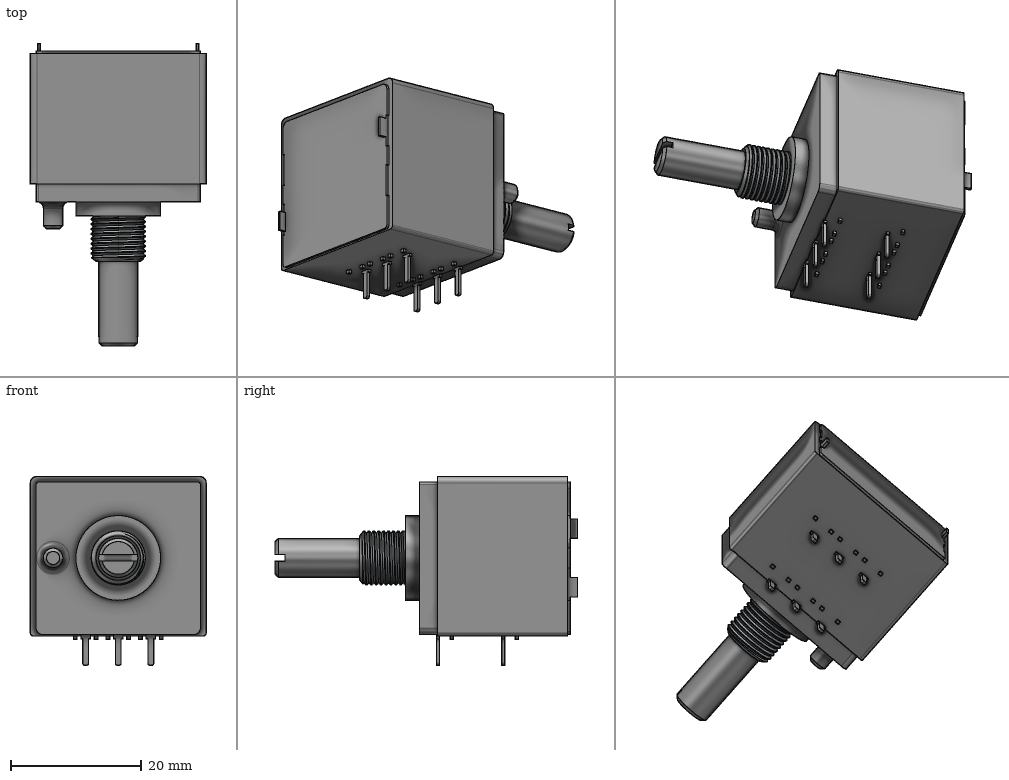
import cadquery as cq
import math


housing_width = 27.0
housing_top = 12.5
housing_bottom = -12.0
housing_front = 4.9
housing_depth = 20.0
housing_back = housing_front + housing_depth
housing_top_radius = 1.0
housing_bottom_radius = 0.5

plate_width = 25.2
plate_top = 11.65
plate_bottom = -11.75
cover_front = 2.15
cover_top_radius = 0.4
cover_bottom_radius = 1.0
back_plate_thickness = 0.4
back_plate_back = housing_back + back_plate_thickness
back_plate_top_radius = 1.0
back_plate_bottom_radius = 0.5

tab_thickness = 0.4
tab_height = 3.0
tab_length = 1.1
tab_x = 12.15
tab_z = 4.5
notch_inner_z = 1.55
notch_outer_z = 6.5

collar_diameter = 13.0
bushing_length = 7.0
thread_pitch = 0.75
thread_major_diameter = 8.3
thread_root_diameter = 7.6
thread_first_root = -0.035
groove_clearance = 0.05
groove_half_width = 0.355
bushing_end_diameter = 6.8
bushing_taper_length = 0.6
shaft_diameter = 6.0
shaft_length = 20.0
shaft_chamfer = 0.5
slot_width = 1.0
slot_depth = 1.5

peg_x = -10.0
peg_diameter = 3.0
peg_tip = -2.0
peg_chamfer = 0.5
peg_root_radius = 1.0

terminal_pitch = 5.0
terminal_rows = (5.0, 15.0)
terminal_thickness = 0.5
terminal_width = 0.9
terminal_bottom = -16.5
terminal_tip_radius = 0.35
shoulder_width = 1.5
shoulder_bottom = -12.4
feet_setback = 2.1
feet_offset = 1.6
feet_width = 0.6
feet_bottom = -12.5

overlap = 0.5


def box(x_min, x_max, y_min, y_max, z_min, z_max):
    """Axis-aligned block between two corners."""
    block = cq.Workplane("XY").box(x_max - x_min, y_max - y_min, z_max - z_min, centered=False)
    return block.translate((x_min, y_min, z_min))


def cylinder(diameter, y_min, y_max):
    """Cylinder around the shaft axis."""
    base = cq.Workplane("XZ", origin=(0, y_max, 0))
    return base.circle(diameter / 2).extrude(y_max - y_min)


def rounded_block(width, y_min, y_max, z_min, z_max, top_radius, bottom_radius):
    """Block centred on X with its four edges along Y rounded."""
    block = box(-width / 2, width / 2, y_min, y_max, z_min, z_max)
    block = block.edges("|Y and >Z").fillet(top_radius)
    return block.edges("|Y and <Z").fillet(bottom_radius)


def make_notch(side, level):
    """Cutter for a notch whose floor is level with the outer face of a tab."""
    floor_x = side * (tab_x + tab_thickness / 2)
    outside_x = side * housing_width / 2
    z_limits = sorted((level * notch_inner_z, level * notch_outer_z))
    return box(*sorted((floor_x, outside_x)), housing_back, back_plate_back + overlap, *z_limits)


def make_body():
    housing = rounded_block(
        housing_width, housing_front, housing_back, housing_bottom, housing_top,
        housing_top_radius, housing_bottom_radius,
    )
    cover = rounded_block(
        plate_width, cover_front, housing_front + overlap, plate_bottom, plate_top,
        cover_top_radius, cover_bottom_radius,
    )
    back_plate = rounded_block(
        plate_width, housing_back - overlap, back_plate_back, plate_bottom, plate_top,
        back_plate_top_radius, back_plate_bottom_radius,
    )
    for side in (-1, 1):
        for level in (-1, 1):
            back_plate = back_plate.cut(make_notch(side, level))
    return housing.union(cover).union(back_plate)


def make_tab(x, z):
    return box(
        x - tab_thickness / 2, x + tab_thickness / 2,
        back_plate_back - overlap, back_plate_back + tab_length,
        z - tab_height / 2, z + tab_height / 2,
    )


def make_groove_turn():
    """Cutter for one right-handed turn of the V groove around -Y, starting at +Z."""
    root_radius = thread_root_diameter / 2
    outer_radius = thread_major_diameter / 2 + groove_clearance
    helix = cq.Wire.makeHelix(thread_pitch, thread_pitch, root_radius)
    profile = cq.Workplane("XZ").polyline([
        (root_radius, 0),
        (outer_radius, groove_half_width),
        (outer_radius, -groove_half_width),
    ]).close()
    turn = profile.sweep(cq.Workplane(obj=helix), isFrenet=True)
    return turn.rotate((0, 0, 0), (0, 0, 1), 90).rotate((0, 0, 0), (1, 0, 0), 90)


def make_bushing():
    """Threaded bushing with a tapered end."""
    major_radius = thread_major_diameter / 2
    end_radius = bushing_end_diameter / 2
    bushing = (
        cq.Workplane("XY")
        .polyline([
            (0, overlap),
            (major_radius, overlap),
            (major_radius, bushing_taper_length - bushing_length),
            (end_radius, -bushing_length),
            (0, -bushing_length),
        ])
        .close()
        .revolve(360, (0, 0, 0), (0, 1, 0))
    )
    turn = make_groove_turn()
    turn_count = math.ceil(bushing_length / thread_pitch) + 1
    for index in range(turn_count):
        bushing = bushing.cut(turn.translate((0, -thread_first_root - index * thread_pitch, 0)))
    return bushing


def make_shaft():
    shaft = cylinder(shaft_diameter, -shaft_length, 0).faces("<Y").chamfer(shaft_chamfer)
    slot = box(
        -shaft_diameter, shaft_diameter,
        -shaft_length, -shaft_length + slot_depth,
        -slot_width / 2, slot_width / 2,
    )
    return shaft.cut(slot)


def make_peg():
    """Locating peg flaring into the cover with a concave root."""
    radius = peg_diameter / 2
    root_centre_y = cover_front - peg_root_radius
    diagonal = peg_root_radius * math.sin(math.radians(45))
    flare_radius = radius + peg_root_radius
    profile = (
        cq.Workplane("XY")
        .moveTo(0, cover_front + overlap)
        .lineTo(flare_radius, cover_front + overlap)
        .lineTo(flare_radius, cover_front)
        .threePointArc(
            (flare_radius - diagonal, root_centre_y + diagonal),
            (radius, root_centre_y),
        )
        .lineTo(radius, peg_tip + peg_chamfer)
        .lineTo(radius - peg_chamfer, peg_tip)
        .lineTo(0, peg_tip)
        .close()
    )
    return profile.revolve(360, (0, 0, 0), (0, 1, 0)).translate((peg_x, 0, 0))


def make_terminal(x, y):
    """Flat terminal with a wide shoulder, and its two feet."""
    front = y - terminal_thickness / 2
    back = y + terminal_thickness / 2
    pin = box(
        x - terminal_width / 2, x + terminal_width / 2, front, back, terminal_bottom, plate_bottom,
    )
    pin = pin.edges("|Y and <Z").fillet(terminal_tip_radius)
    shoulder = box(
        x - shoulder_width / 2, x + shoulder_width / 2, front, back, shoulder_bottom, plate_bottom,
    )
    terminal = pin.union(shoulder)
    for side in (-1, 1):
        foot_x = x + side * feet_offset
        foot = box(
            foot_x - feet_width / 2, foot_x + feet_width / 2,
            front + feet_setback, back + feet_setback,
            feet_bottom, plate_bottom,
        )
        terminal = terminal.union(foot)
    return terminal


result = make_body()
for diagonal_end in (-1, 1):
    result = result.union(make_tab(-diagonal_end * tab_x, diagonal_end * tab_z))
for row_y in terminal_rows:
    for column in (-1, 0, 1):
        result = result.union(make_terminal(column * terminal_pitch, row_y))
result = result.union(make_peg())
result = result.union(cylinder(collar_diameter, 0, cover_front + overlap))
result = result.union(make_bushing())
result = result.union(make_shaft())